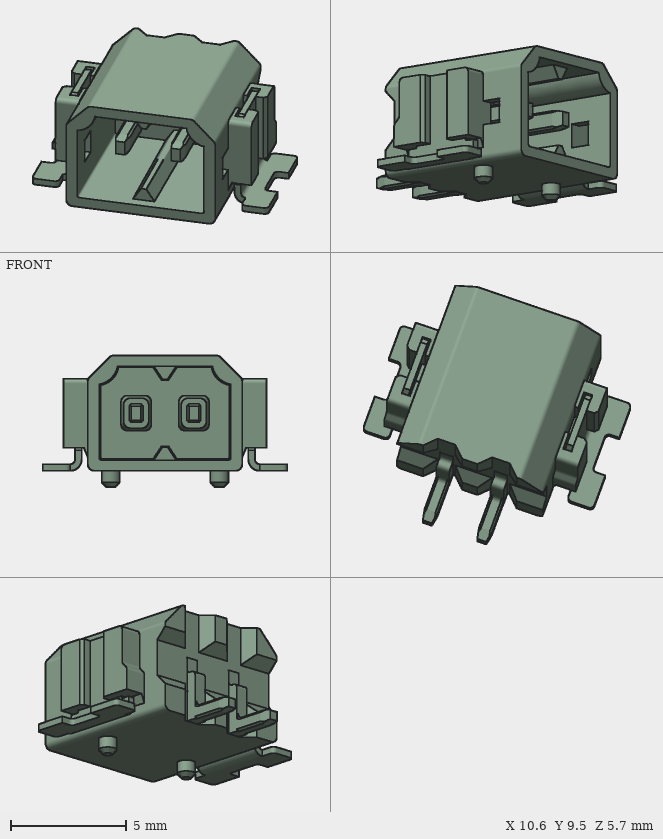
import cadquery as cq
import math


HOUSING_WIDTH = 6.7
HOUSING_DEPTH = 7.5
HOUSING_HEIGHT = 5.0
TOP_CHAMFER = 1.02
CHAMFER_BLEND = 0.25
BOTTOM_RADIUS = 0.3
SIDE = HOUSING_WIDTH / 2

CAVITY_WIDTH = 5.68
CAVITY_FLOOR = 0.47
CAVITY_ROOF = HOUSING_HEIGHT - CAVITY_FLOOR
CAVITY_DEPTH = 6.0
CAVITY_DRAFT = 0.5
KEY_SIZE = 0.78
KEY_BULGE = 0.18
CAVITY_CORNER_RADIUS = 0.1
RIB_BASE = 0.98
RIB_CREST = 0.23
RIB_HEIGHT = 0.56
RIB_START = 0.5

RELIEF_DEPTH = 0.5
RELIEF_HALF_WIDTH = 0.4
SLOT_BOTTOM = 1.69
SLOT_TOP = 3.3
REAR_FACE = HOUSING_DEPTH - RELIEF_DEPTH

PIN_PITCH = 2.5
PIN_WIDTH = 0.6
PIN_HEIGHT = 0.81
PIN_Z = HOUSING_HEIGHT / 2
PIN_EDGE = 0.1
PIN_TIP_Y = 1.2
PIN_END_Y = 9.5
TIP_LENGTH = 0.5
TIP_INSET = 0.1
FOOT_HEIGHT = 0.6
ROOT_LENGTH = 0.5
ROOT_BOTTOM = 1.38
LEG_TOP = 2.19
SHOULDER_RADIUS = 0.17
LEG_RADIUS = 0.2

BOSS_WIDTH = 1.31
BOSS_HEIGHT = 1.53
BOSS_LENGTH = 0.5
BOSS_INSET = 0.12
BOSS_RADIUS = 0.3

WINDOW_FRONT = 1.2
WINDOW_BOTTOM = 1.61
WINDOW_TOP = 2.66

HOLDER_REACH = 1.05
HOLDER_FRONT = 2.1
HOLDER_REAR = 6.2
HOLDER_UPPER_REAR = 5.9
HOLDER_BOTTOM = 1.0
HOLDER_TOP = 4.0
HOLDER_STEP_Z = 2.27
HOLDER_RADIUS = 0.2
LIP = 0.17
GUSSET_DROP = 0.39
OPENING = 1.21
OPENING_CHAMFER = 0.15
TAB_Y = 4.0

TAB_THICKNESS = 0.3
TAB_REACH = 5.3
BLADE_OUTER = 3.9
BLADE_WIDTH = 2.69
BLADE_TOP = HOLDER_TOP
BLADE_CHAMFER = 0.25
SHOULDER_WIDTH = 3.58
SHOULDER_Z = 0.89
SHOULDER_FILLET = 0.1
BEND_RADIUS = 0.2
FOOT_LENGTH = 5.0
FOOT_NOTCH = 1.8
FOOT_NOTCH_DEPTH = 0.6
FOOT_RADIUS = 0.2
BUMP_WIDTH = 0.81
BUMP_REACH = 0.18
BUMP_BOTTOM = 2.12
BUMP_TOP = 3.18

PEG_DIAMETER = 0.8
PEG_SPACING = 4.71
PEG_Y = 2.87
PEG_LENGTH = 0.7
PEG_CHAMFER = 0.2


def box(x0, x1, y0, y1, z0, z1):
    return cq.Workplane("XY").box(x1 - x0, y1 - y0, z1 - z0, centered=False).translate((x0, y0, z0))


def mirrored(body):
    """The same feature on the -X side."""
    return body.mirror("YZ")


def at_depth(y):
    """Workplane across the connector at depth y; its normal points to the front."""
    return cq.Workplane("XZ", origin=(0, y, 0))


def make_shell():
    shell = box(-SIDE, SIDE, 0, HOUSING_DEPTH, 0, HOUSING_HEIGHT)
    shell = shell.edges("|Y and >Z").chamfer(TOP_CHAMFER)
    shell = shell.edges("|Y").edges(cq.selectors.BoxSelector(
        (-HOUSING_WIDTH, -0.11, HOUSING_HEIGHT / 2),
        (HOUSING_WIDTH, HOUSING_DEPTH + 0.11, HOUSING_HEIGHT + 0.11),
    )).fillet(CHAMFER_BLEND)
    return shell.edges("|Y and <Z").fillet(BOTTOM_RADIUS)


def make_cavity():
    wall = CAVITY_WIDTH / 2
    key_side = CAVITY_ROOF - KEY_SIZE
    key_top = wall - KEY_SIZE
    inward = KEY_SIZE / 2 + KEY_BULGE / math.sqrt(2)
    cavity = (
        at_depth(0)
        .moveTo(-wall, CAVITY_FLOOR)
        .lineTo(wall, CAVITY_FLOOR)
        .lineTo(wall, key_side)
        .threePointArc((wall - inward, CAVITY_ROOF - inward), (key_top, CAVITY_ROOF))
        .lineTo(-key_top, CAVITY_ROOF)
        .threePointArc((-wall + inward, CAVITY_ROOF - inward), (-wall, key_side))
        .close()
        .extrude(-CAVITY_DEPTH, taper=CAVITY_DRAFT)
    )
    return cavity.edges("%LINE and (not #Y)").fillet(CAVITY_CORNER_RADIUS)


def make_rib():
    """Floor rib, widening slightly towards the back wall."""
    return (
        at_depth(RIB_START)
        .moveTo(-RIB_BASE / 2, CAVITY_FLOOR)
        .lineTo(-RIB_CREST / 2, CAVITY_FLOOR + RIB_HEIGHT)
        .lineTo(RIB_CREST / 2, CAVITY_FLOOR + RIB_HEIGHT)
        .lineTo(RIB_BASE / 2, CAVITY_FLOOR)
        .close()
        .extrude(RIB_START - CAVITY_DEPTH, taper=-CAVITY_DRAFT)
    )


def make_boss(x):
    boss = at_depth(CAVITY_DEPTH).center(x, PIN_Z).rect(BOSS_WIDTH, BOSS_HEIGHT)
    boss = boss.workplane(offset=BOSS_LENGTH).rect(BOSS_WIDTH - 2 * BOSS_INSET, BOSS_HEIGHT - 2 * BOSS_INSET)
    return boss.loft(ruled=True).edges("not(#Y)").fillet(BOSS_RADIUS)


def make_rear_notch(x):
    """Notch through the full height that clears one pin leg."""
    return (
        cq.Workplane("XY")
        .moveTo(x - RELIEF_HALF_WIDTH, REAR_FACE)
        .lineTo(x + RELIEF_HALF_WIDTH, REAR_FACE)
        .lineTo(x + RELIEF_HALF_WIDTH + RELIEF_DEPTH, HOUSING_DEPTH)
        .lineTo(x - RELIEF_HALF_WIDTH - RELIEF_DEPTH, HOUSING_DEPTH)
        .close()
        .extrude(HOUSING_HEIGHT)
    )


def make_rear_slot():
    """Flared slot across the full width of the rear."""
    return (
        cq.Workplane("YZ", origin=(-SIDE, 0, 0))
        .moveTo(REAR_FACE, SLOT_BOTTOM)
        .lineTo(REAR_FACE, SLOT_TOP)
        .lineTo(HOUSING_DEPTH, SLOT_TOP + RELIEF_DEPTH)
        .lineTo(HOUSING_DEPTH, SLOT_BOTTOM - RELIEF_DEPTH)
        .close()
        .extrude(HOUSING_WIDTH)
    )


def make_holder():
    """Slotted tab holder on the +X side."""
    step = HOLDER_REAR - HOLDER_UPPER_REAR
    outer = SIDE + HOLDER_REACH
    slot_inner = SIDE + LIP
    holder = (
        cq.Workplane("YZ", origin=(SIDE, 0, 0))
        .moveTo(HOLDER_FRONT, HOLDER_BOTTOM)
        .lineTo(HOLDER_REAR, HOLDER_BOTTOM)
        .lineTo(HOLDER_REAR, HOLDER_STEP_Z - step)
        .lineTo(HOLDER_UPPER_REAR, HOLDER_STEP_Z)
        .lineTo(HOLDER_UPPER_REAR, HOLDER_TOP)
        .lineTo(HOLDER_FRONT, HOLDER_TOP)
        .close()
        .extrude(HOLDER_REACH)
        .edges("|X and (not <Z)")
        .fillet(HOLDER_RADIUS)
    )
    half_opening = OPENING / 2
    opening = (
        cq.Workplane("XY", origin=(0, TAB_Y, HOLDER_BOTTOM))
        .moveTo(SIDE, -half_opening)
        .lineTo(outer - OPENING_CHAMFER, -half_opening)
        .lineTo(outer, -half_opening - OPENING_CHAMFER)
        .lineTo(outer, half_opening + OPENING_CHAMFER)
        .lineTo(outer - OPENING_CHAMFER, half_opening)
        .lineTo(SIDE, half_opening)
        .close()
        .extrude(HOLDER_TOP)
    )
    slot = box(
        slot_inner, BLADE_OUTER,
        TAB_Y - BLADE_WIDTH / 2, TAB_Y + BLADE_WIDTH / 2,
        HOLDER_BOTTOM, HOLDER_TOP,
    )
    gusset = (
        at_depth(HOLDER_FRONT)
        .moveTo(SIDE, HOLDER_BOTTOM)
        .lineTo(slot_inner, HOLDER_BOTTOM)
        .lineTo(SIDE, HOLDER_BOTTOM - GUSSET_DROP)
        .close()
        .extrude(HOLDER_FRONT - HOLDER_REAR)
    )
    return holder.cut(opening).cut(slot).union(gusset)


def make_peg(x):
    peg = cq.Workplane("XY", origin=(x, PEG_Y, 0)).circle(PEG_DIAMETER / 2).extrude(-PEG_LENGTH)
    return peg.faces("<Z").chamfer(PEG_CHAMFER)


def make_tapered_bar(height, z_middle, length):
    """Edge-chamfered bar along Y, starting at Y = 0, with a tapered tip at its far end."""
    bar = cq.Workplane("XY").box(PIN_WIDTH, length, height, centered=(True, False, True))
    bar = bar.edges("|Y").chamfer(PIN_EDGE)
    shaft = cq.Workplane("XY").box(PIN_WIDTH, length - TIP_LENGTH, height, centered=(True, False, True))
    tip = (
        at_depth(length - TIP_LENGTH)
        .rect(PIN_WIDTH, height)
        .workplane(offset=-TIP_LENGTH)
        .rect(PIN_WIDTH - 2 * TIP_INSET, height - 2 * TIP_INSET)
        .loft(ruled=True)
    )
    return bar.intersect(shaft.union(tip)).translate((0, 0, z_middle))


def make_pin(x):
    """Mating blade, root in the rear wall, short vertical leg and solder foot."""
    root_front = REAR_FACE - ROOT_LENGTH
    blade_top = PIN_Z + PIN_HEIGHT / 2
    arc_mid = 1 - math.sqrt(0.5)
    leg = (
        cq.Workplane("YZ", origin=(-PIN_WIDTH / 2, 0, 0))
        .moveTo(root_front, ROOT_BOTTOM)
        .lineTo(root_front, blade_top)
        .lineTo(REAR_FACE, blade_top)
        .lineTo(REAR_FACE, LEG_TOP + SHOULDER_RADIUS)
        .threePointArc(
            (REAR_FACE + SHOULDER_RADIUS * arc_mid, LEG_TOP + SHOULDER_RADIUS * arc_mid),
            (REAR_FACE + SHOULDER_RADIUS, LEG_TOP),
        )
        .lineTo(HOUSING_DEPTH - LEG_RADIUS, LEG_TOP)
        .threePointArc(
            (HOUSING_DEPTH - LEG_RADIUS * arc_mid, LEG_TOP - LEG_RADIUS * arc_mid),
            (HOUSING_DEPTH, LEG_TOP - LEG_RADIUS),
        )
        .lineTo(HOUSING_DEPTH, 0)
        .lineTo(REAR_FACE, 0)
        .lineTo(REAR_FACE, ROOT_BOTTOM)
        .close()
        .extrude(PIN_WIDTH)
    )
    heel = (
        cq.Workplane("YZ", origin=(-PIN_WIDTH / 2, HOUSING_DEPTH, FOOT_HEIGHT))
        .moveTo(0, -FOOT_HEIGHT / 2)
        .lineTo(0, LEG_RADIUS)
        .threePointArc((LEG_RADIUS * arc_mid, LEG_RADIUS * arc_mid), (LEG_RADIUS, 0))
        .lineTo(LEG_RADIUS, -FOOT_HEIGHT / 2)
        .close()
        .extrude(PIN_WIDTH)
        .edges("%CIRCLE")
        .chamfer(PIN_EDGE)
    )
    blade = make_tapered_bar(PIN_HEIGHT, PIN_Z, REAR_FACE - PIN_TIP_Y)
    blade = blade.rotate((0, 0, 0), (0, 0, 1), 180).translate((0, REAR_FACE, 0))
    blade = blade.intersect(box(-PIN_WIDTH, PIN_WIDTH, 0, root_front, 0, HOUSING_HEIGHT))
    foot = make_tapered_bar(FOOT_HEIGHT, FOOT_HEIGHT / 2, PIN_END_Y - HOUSING_DEPTH)
    foot = foot.translate((0, HOUSING_DEPTH, 0))
    return leg.union(blade).union(heel).union(foot).translate((x, 0, 0))


def make_tab():
    """Bent solder tab on the +X side."""
    blade_inner = BLADE_OUTER - TAB_THICKNESS
    outer_radius = BEND_RADIUS + TAB_THICKNESS
    foot_start = BLADE_OUTER + BEND_RADIUS
    arc_mid = 1 - math.sqrt(0.5)

    strip = (
        at_depth(TAB_Y + SHOULDER_WIDTH / 2)
        .moveTo(blade_inner, SHOULDER_Z)
        .lineTo(blade_inner, outer_radius)
        .threePointArc(
            (blade_inner + outer_radius * arc_mid, outer_radius * arc_mid),
            (foot_start, 0),
        )
        .lineTo(foot_start, TAB_THICKNESS)
        .threePointArc(
            (BLADE_OUTER + BEND_RADIUS * arc_mid, TAB_THICKNESS + BEND_RADIUS * arc_mid),
            (BLADE_OUTER, outer_radius),
        )
        .lineTo(BLADE_OUTER, SHOULDER_Z)
        .close()
        .extrude(SHOULDER_WIDTH)
    )

    half_blade = BLADE_WIDTH / 2
    blade = box(
        blade_inner, BLADE_OUTER, TAB_Y - half_blade, TAB_Y + half_blade, outer_radius, BLADE_TOP
    ).edges("|X and >Z").chamfer(BLADE_CHAMFER)
    tab = strip.union(blade)
    tab = tab.edges(cq.selectors.BoxSelector(
        (blade_inner - 0.11, TAB_Y - half_blade - 0.01, SHOULDER_Z - 0.01),
        (BLADE_OUTER + 0.11, TAB_Y + half_blade + 0.01, SHOULDER_Z + 0.01),
    )).edges("|X").fillet(SHOULDER_FILLET)

    bump = box(
        blade_inner - BUMP_REACH, blade_inner,
        TAB_Y - BUMP_WIDTH / 2, TAB_Y + BUMP_WIDTH / 2,
        BUMP_BOTTOM, BUMP_TOP,
    )

    foot = box(
        foot_start, TAB_REACH, TAB_Y - FOOT_LENGTH / 2, TAB_Y + FOOT_LENGTH / 2, 0, TAB_THICKNESS
    ).edges("|Z").fillet(FOOT_RADIUS)
    notch = box(
        TAB_REACH - FOOT_NOTCH_DEPTH, TAB_REACH, TAB_Y - FOOT_NOTCH / 2, TAB_Y + FOOT_NOTCH / 2, 0, TAB_THICKNESS
    ).edges("|Z and <X").fillet(FOOT_RADIUS)
    return tab.union(bump).union(foot.cut(notch))


def make_housing(pins):
    housing = make_shell().cut(make_cavity())
    rib = make_rib()
    roof_rib = rib.mirror("XY", (0, 0, HOUSING_HEIGHT / 2))
    housing = housing.union(rib).union(roof_rib)
    housing = housing.cut(make_rear_slot())
    for x in PIN_XS:
        housing = housing.union(make_boss(x)).cut(make_rear_notch(x))
    housing = housing.cut(box(-SIDE, SIDE, WINDOW_FRONT, HOLDER_FRONT, WINDOW_BOTTOM, WINDOW_TOP))
    holder = make_holder()
    housing = housing.union(holder).union(mirrored(holder))
    for x in (-PEG_SPACING / 2, PEG_SPACING / 2):
        housing = housing.union(make_peg(x))
    for pin in pins:
        housing = housing.cut(pin)
    return housing


PIN_XS = (-PIN_PITCH / 2, PIN_PITCH / 2)
pins = [make_pin(x) for x in PIN_XS]
tab = make_tab()
tabs = [tab, mirrored(tab)]
housing = make_housing(pins)

result = cq.Compound.makeCompound([housing.val(), *[body.val() for body in pins + tabs]])